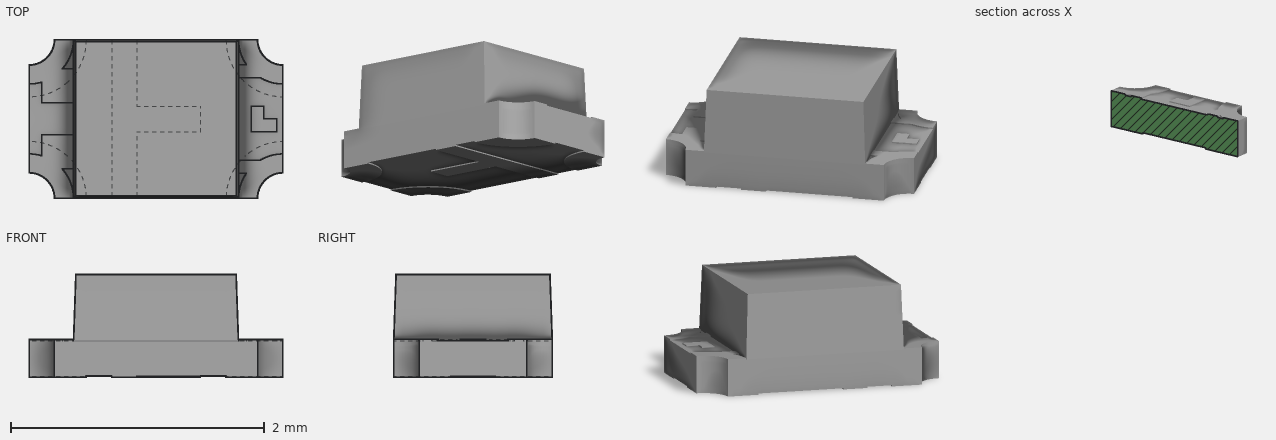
import cadquery as cq

BOARD_LENGTH = 2.0
BOARD_WIDTH = 1.25
BOARD_THICKNESS = 0.28
NOTCH_RADIUS = 0.2

METAL_THICKNESS = 0.01
TOP_LAND_RADIUS = 0.35
BOTTOM_LAND_RADIUS = 0.45

LENS_LENGTH = 1.3
LENS_HEIGHT = 0.52
LENS_TAPER = 2.0

LEFT_STRIP_START = -0.9
LEFT_STRIP_INNER_Y = 0.125
LEFT_STRIP_OUTER_Y = 0.395
RIGHT_STRIP_END = 0.82
RIGHT_STRIP_INNER_Y = 0.325
RIGHT_STRIP_OUTER_Y = 0.425
STRIP_OVERLAP = 0.01

MARK_CENTER_X = 0.85
MARK_SIZE = 0.2
MARK_ARM = MARK_SIZE / 2

POLARITY_LENGTH = 0.7
POLARITY_ARM = 0.2

HALF_LENGTH = BOARD_LENGTH / 2
HALF_WIDTH = BOARD_WIDTH / 2
BOARD_BOTTOM = METAL_THICKNESS
BOARD_TOP = BOARD_BOTTOM + BOARD_THICKNESS
CORNERS = [(x, y) for x in (-HALF_LENGTH, HALF_LENGTH) for y in (-HALF_WIDTH, HALF_WIDTH)]


def corner_cylinders(radius, bottom, height):
    """Upright cylinders centred on the four corners of the board rectangle."""
    return cq.Workplane("XY", origin=(0, 0, bottom)).pushPoints(CORNERS).circle(radius).extrude(height)


def metal_rectangle(x_min, x_max, y_min, y_max, bottom):
    """Rectangular patch with the thickness of the metal layer."""
    return (
        cq.Workplane("XY", origin=(x_min, y_min, bottom))
        .rect(x_max - x_min, y_max - y_min, centered=False)
        .extrude(METAL_THICKNESS)
    )


def notched_slab(bottom, thickness):
    """Slab with the outline of the board, corner notches included."""
    slab = cq.Workplane("XY", origin=(0, 0, bottom)).rect(BOARD_LENGTH, BOARD_WIDTH).extrude(thickness)
    return slab.cut(corner_cylinders(NOTCH_RADIUS, bottom, thickness))


def top_metal():
    metal = corner_cylinders(TOP_LAND_RADIUS, BOARD_TOP, METAL_THICKNESS)
    lens_edge = LENS_LENGTH / 2
    strips = [
        (LEFT_STRIP_START, -lens_edge + STRIP_OVERLAP, LEFT_STRIP_INNER_Y, LEFT_STRIP_OUTER_Y),
        (lens_edge - STRIP_OVERLAP, RIGHT_STRIP_END, RIGHT_STRIP_INNER_Y, RIGHT_STRIP_OUTER_Y),
    ]
    for x_min, x_max, inner_y, outer_y in strips:
        metal = metal.union(metal_rectangle(x_min, x_max, inner_y, outer_y, BOARD_TOP))
        metal = metal.union(metal_rectangle(x_min, x_max, -outer_y, -inner_y, BOARD_TOP))
    return metal.intersect(notched_slab(BOARD_TOP, METAL_THICKNESS))


def top_mark():
    left = MARK_CENTER_X - MARK_SIZE / 2
    right = left + MARK_SIZE
    low = -MARK_SIZE / 2
    upright = metal_rectangle(left, left + MARK_ARM, low, low + MARK_SIZE, BOARD_TOP)
    foot = metal_rectangle(left, right, low, low + MARK_ARM, BOARD_TOP)
    return upright.union(foot)


def bottom_metal():
    lands = corner_cylinders(BOTTOM_LAND_RADIUS, 0, METAL_THICKNESS)
    return lands.intersect(notched_slab(0, METAL_THICKNESS))


def polarity_mark():
    left = -POLARITY_LENGTH / 2
    right = POLARITY_LENGTH / 2
    bar = metal_rectangle(left, left + POLARITY_ARM, -HALF_WIDTH, HALF_WIDTH, 0)
    stem = metal_rectangle(left, right, -POLARITY_ARM / 2, POLARITY_ARM / 2, 0)
    return bar.union(stem)


def lens():
    return (
        cq.Workplane("XY", origin=(0, 0, BOARD_TOP))
        .rect(LENS_LENGTH, BOARD_WIDTH)
        .extrude(LENS_HEIGHT, taper=LENS_TAPER)
    )


result = (
    notched_slab(BOARD_BOTTOM, BOARD_THICKNESS)
    .union(top_metal())
    .union(top_mark())
    .union(bottom_metal())
    .union(polarity_mark())
    .union(lens())
)